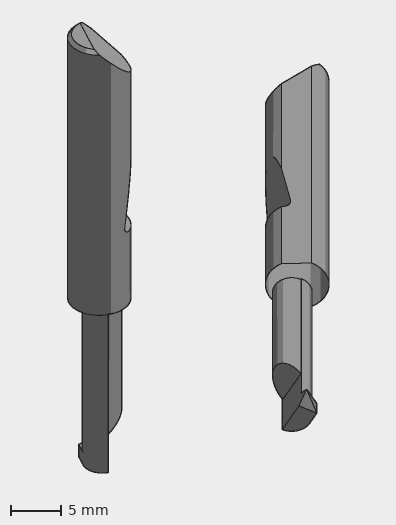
import cadquery as cq
import math

total_length = 50.8
shank_radius = 3.175
neck_length = 19.05
neck_radius = 2.05
back_radius = 1.95
neck_offset = shank_radius - neck_radius

top_chamfer = 0.4
bevel_start_y = -1.25

flat_direction = 150
flat_distance = 2.8

notch_floor_z = 27.85
notch_top_z = 36.85
notch_taper = 9
notch_corner_radius = 0.8

relief_bottom_z = 4.5

tooth_tip_x = -2.0
tooth_tip_z = 0.85
tooth_top_z = 1.5
flank_slope = math.tan(math.radians(30))
tooth_heel_x = -0.35
tooth_back_x = neck_offset

cut_size = 4 * shank_radius


def extrude_across(outline):
    """Extrude a YZ outline symmetrically along X, past both sides of the part."""
    return outline.extrude(cut_size / 2, both=True)


def make_shank():
    shank = (
        cq.Workplane("XY")
        .workplane(offset=neck_length)
        .circle(shank_radius)
        .extrude(total_length - neck_length)
        .faces(">Z")
        .chamfer(top_chamfer)
    )
    flat_cutter = (
        cq.Workplane("XY")
        .box(cut_size, cut_size, total_length, centered=(False, True, False))
        .translate((flat_distance, 0, 0))
        .rotate((0, 0, 0), (0, 0, 1), flat_direction)
    )
    return shank.cut(flat_cutter).cut(make_bevel_cutter()).cut(make_notch_cutter())


def make_bevel_cutter():
    outline = cq.Workplane("YZ").polyline([
        (bevel_start_y, total_length),
        (bevel_start_y + cut_size, total_length),
        (bevel_start_y + cut_size, total_length - cut_size),
    ])
    return extrude_across(outline.close())


def make_notch_cutter():
    taper_slope = math.tan(math.radians(notch_taper))
    corner_y = shank_radius - (notch_top_z - notch_floor_z) * taper_slope
    outer_y = 2 * shank_radius
    outline = cq.Workplane("YZ").polyline([
        (corner_y, notch_floor_z),
        (outer_y, notch_floor_z),
        (outer_y, notch_top_z),
        (shank_radius, notch_top_z),
    ])
    return extrude_across(outline.close()).edges("|X and <Y").fillet(notch_corner_radius)


def make_half_neck(radius, side):
    """Half round bar on the +Y (side = 1) or -Y (side = -1) side of the rake plane."""
    return (
        cq.Workplane("XY")
        .moveTo(neck_offset - radius, 0)
        .threePointArc((neck_offset, side * radius), (neck_offset + radius, 0))
        .close()
        .extrude(neck_length)
    )


def make_neck():
    neck = make_half_neck(neck_radius, -1).union(make_half_neck(back_radius, 1))
    relief = cq.Workplane("YZ").polyline([
        (0, 0),
        (0, relief_bottom_z),
        (cut_size, relief_bottom_z + cut_size),
        (cut_size, 0),
    ])
    tooth_space = (
        cq.Workplane("XY")
        .box(tooth_back_x - tooth_tip_x, neck_radius, tooth_top_z, centered=False)
        .translate((tooth_tip_x, -neck_radius, 0))
    )
    return neck.cut(extrude_across(relief.close())).cut(tooth_space)


def make_tooth():
    """Faceted tooth: rake face at y = 0, clearance and flanks running back from the tip."""
    tip = (tooth_tip_x, 0, tooth_tip_z)
    shoulder = (tooth_tip_x + (tooth_top_z - tooth_tip_z) / flank_slope, 0, tooth_top_z)
    heel = (tooth_heel_x, 0, 0)
    rear_top = (tooth_back_x, 0, tooth_top_z)
    rear_bottom = (tooth_back_x, 0, 0)
    clear_top = (tooth_heel_x, -neck_radius, tooth_top_z)
    clear_bottom = (tooth_heel_x, -neck_radius, 0)
    outer_top = (tooth_back_x, -neck_radius, tooth_top_z)
    outer_bottom = (tooth_back_x, -neck_radius, 0)
    facets = [
        [tip, shoulder, rear_top, rear_bottom, heel],
        [tip, clear_top, clear_bottom],
        [tip, shoulder, clear_top],
        [tip, heel, clear_bottom],
        [shoulder, rear_top, outer_top, clear_top],
        [heel, rear_bottom, outer_bottom, clear_bottom],
        [clear_top, outer_top, outer_bottom, clear_bottom],
        [rear_top, outer_top, outer_bottom, rear_bottom],
    ]
    faces = []
    for corners in facets:
        outline = cq.Wire.makePolygon([cq.Vector(*corner) for corner in corners], close=True)
        faces.append(cq.Face.makeFromWires(outline))
    return cq.Workplane(cq.Solid.makeSolid(cq.Shell.makeShell(faces)))


result = make_shank().union(make_neck()).union(make_tooth())